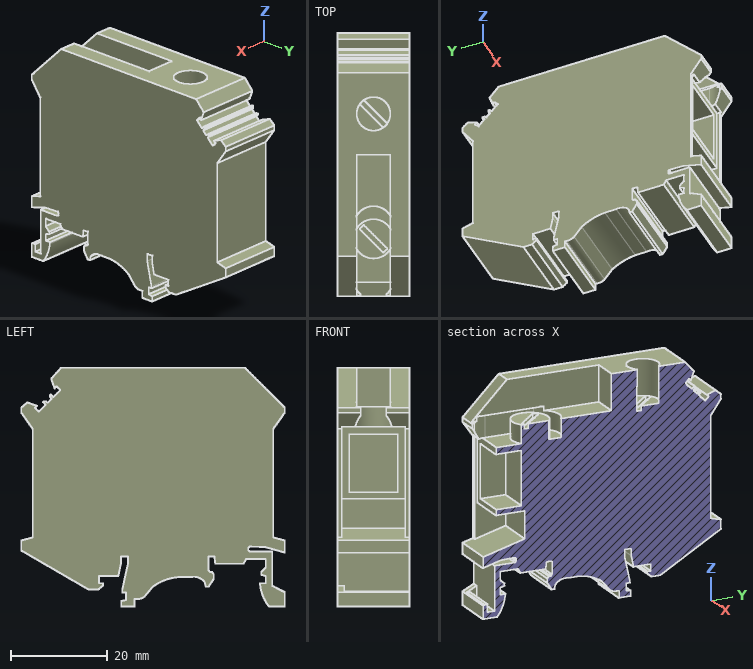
import cadquery as cq
import math


WIDTH = 15.0
DEPTH = 54.9
HEIGHT = 49.8
END_Y = DEPTH / 2
WALL_Y = END_Y - 2.4
TOP_Y = END_Y - 8.35
FLARE_LOW_Z = 37.0
FLARE_HIGH_Z = 40.4
SHOULDER_Z = HEIGHT - (END_Y - TOP_Y)
LEDGE_FRONT_Z = 13.8
LEDGE_WALL_Z = 14.45
LEDGE_SLOPE = (LEDGE_WALL_Z - LEDGE_FRONT_Z) / (END_Y - WALL_Y)

SEAT_Y = 21.53
SEAT_Z = 42.85
SEAT_HALF = 3.16
SEAT_WALL = 1.15
HOOK_ALONG = 2.55
HOOK_OUT = 1.08
JAW_ALONG = 3.47
JAW_OUT = 3.05
RIB_INNER = 0.6
RIB_OUTER = 1.15
RIB_CREST = 0.84
RIB_LOW = 0.43
RIB_HIGH = 0.8

POCKET_HALF_X = 6.65
POCKET_BACK_Y = -17.9
CLAMP_FRONT_Y = -24.45
CLAMP_TOP_Z = 37.5
CLAMP_BOTTOM_Z = 22.45
WINDOW_HALF_X = 5.1
WINDOW_TOP_Z = 35.9
WINDOW_BOTTOM_Z = 23.8
WINDOW_DEPTH = 5.8

SLOT_WIDTH = 7.0
SLOT_BACK_Y = 2.1
SLOT_FLOOR_Z = 41.65
CHANNEL_RADIUS = 4.1
CHANNEL_ROOF_Z = 42.6
CHANNEL_BACK_Y = -12.75
CHANNEL_FRONT_Y = -23.9
LIP_GAP_HALF_X = 2.65
SCREW_RADIUS = 4.1
FRONT_SCREW_Y = -15.45
REAR_HOLE_Y = 10.57
DRIVER_LENGTH = 7.0
DRIVER_WIDTH = 1.2
DRIVER_DEPTH = 1.0
DRIVER_ANGLE = -45.0

FOOT_TOP_Z = 4.36
FOOT_EDGE_Z = 3.05
LEG_FRONT_Y = -24.85
RELEASE_LIP = 1.05
RELEASE_LIP_Z = 3.2
RELEASE_FLOOR_Z = 1.5
RELEASE_END_WALL = 1.4


def box(x0, x1, y0, y1, z0, z1):
    """Axis-aligned box between the given limits."""
    block = cq.Workplane("XY").box(x1 - x0, y1 - y0, z1 - z0, centered=False)
    return block.translate((x0, y0, z0))


def seat_point(along, out):
    """(Y, Z) point in the marker seat's frame: along rises toward -Y, out leaves the seat floor."""
    diagonal = math.sqrt(0.5)
    return (SEAT_Y + diagonal * (out - along), SEAT_Z + diagonal * (out + along))


def marker_seat_points():
    """Seat outline from low jaw to high jaw: one half, mirrored about the seat middle."""
    half = [
        (RIB_INNER, 0),
        (RIB_INNER, RIB_LOW),
        (RIB_CREST, RIB_HIGH),
        (RIB_OUTER, RIB_HIGH),
        (RIB_OUTER, 0),
        (SEAT_HALF, 0),
        (SEAT_HALF, SEAT_WALL),
        (HOOK_ALONG, HOOK_OUT),
        (JAW_ALONG, JAW_OUT),
    ]
    low = [seat_point(-along, out) for along, out in reversed(half)]
    high = [seat_point(along, out) for along, out in half]
    return low + high


def polyline_through(sketch, points):
    """Continue the sketch with straight lines through the given (Y, Z) points."""
    for point in points:
        sketch = sketch.lineTo(*point)
    return sketch


def housing():
    """Outline in the YZ plane, extruded over the whole width."""
    front_end = [
        (-TOP_Y, HEIGHT),
        (-END_Y, SHOULDER_Z),
        (-END_Y, FLARE_HIGH_Z),
        (-WALL_Y, FLARE_LOW_Z),
        (-WALL_Y, LEDGE_WALL_Z),
        (-END_Y, LEDGE_FRONT_Z),
        (-END_Y, 11.25),
        (-23.35, 12.4),
    ]
    spring_leg_and_foot = [
        (-20.1, 12.5),
        (-19.85, 12.2),
        (-19.85, 11.75),
        (-20.15, 11.5),
        (LEG_FRONT_Y, 11.5),
        (LEG_FRONT_Y, FOOT_TOP_Z),
        (-END_Y, FOOT_EDGE_Z),
        (-END_Y, 0),
        (-24.15, 0),
    ]
    front_rail_catch = [
        (-22.25, 4.9),
        (-23.45, 4.9),
        (-23.45, 6.35),
        (-22.5, 6.65),
        (-22.5, 7.2),
        (-23.45, 8.2),
        (-23.45, 9.9),
        (-19.4, 9.9),
        (-18.85, 8.9),
        (-12.95, 8.9),
        (-12.75, 10.45),
        (-11.6, 10.45),
        (-11.6, 7.6),
        (-11.85, 7.25),
        (-12.3, 7.25),
        (-12.65, 6.8),
        (-12.65, 5.8),
        (-11.6, 4.15),
        (-10.95, 4.15),
        (-10.75, 5.1),
    ]
    centre_foot = [
        (3.85, 1.6),
        (3.85, 0),
        (6.65, 0),
        (6.65, 1.2),
        (5.65, 1.4),
        (5.65, 2.95),
        (6.45, 2.95),
        (6.45, 3.45),
        (5.25, 8.9),
        (5.25, 10.45),
        (6.65, 10.45),
        (6.65, 9.0),
        (7.2, 6.35),
    ]
    rear_rail_hook = [
        (11.2, 6.35),
        (11.2, 4.9),
        (10.4, 4.9),
        (10.4, 4.4),
        (11.4, 3.55),
        (13.4, 3.55),
    ]
    rear_end = [
        (END_Y, 11.7),
        (END_Y, LEDGE_FRONT_Z),
        (WALL_Y, LEDGE_WALL_Z),
        (WALL_Y, FLARE_LOW_Z),
        (END_Y, FLARE_HIGH_Z),
        (END_Y, SHOULDER_Z),
    ]

    outline = cq.Workplane("YZ").moveTo(TOP_Y, HEIGHT)
    outline = polyline_through(outline, front_end)
    outline = polyline_through(outline, spring_leg_and_foot)
    outline = outline.threePointArc((-22.9, 2.1), (-22.25, 4.65))
    outline = polyline_through(outline, front_rail_catch)
    outline = outline.threePointArc((-9.9, 5.85), (-7.9, 6.15))
    outline = outline.lineTo(-5.3, 6.15)
    outline = outline.threePointArc((-2.4, 5.5), (0, 4.2))
    outline = outline.lineTo(1.75, 2.1)
    outline = outline.threePointArc((2.6, 1.65), (3.5, 1.6))
    outline = polyline_through(outline, centre_foot + rear_rail_hook + rear_end)
    outline = polyline_through(outline, marker_seat_points())
    return outline.close().extrude(WIDTH / 2, both=True)


def clamp_pocket():
    """Opening in the front end wall, floored by the ledge slope, around the clamp block."""
    floor_back_z = LEDGE_FRONT_Z + LEDGE_SLOPE * (POCKET_BACK_Y + END_Y)
    side = [
        (-END_Y, LEDGE_FRONT_Z),
        (POCKET_BACK_Y, floor_back_z),
        (POCKET_BACK_Y, CLAMP_TOP_Z),
        (-END_Y, CLAMP_TOP_Z),
    ]
    pocket = cq.Workplane("YZ").polyline(side).close().extrude(POCKET_HALF_X, both=True)
    clamp = box(-POCKET_HALF_X, POCKET_HALF_X, CLAMP_FRONT_Y, POCKET_BACK_Y, CLAMP_BOTTOM_Z, CLAMP_TOP_Z)
    window = box(
        -WINDOW_HALF_X, WINDOW_HALF_X,
        CLAMP_FRONT_Y, CLAMP_FRONT_Y + WINDOW_DEPTH,
        WINDOW_BOTTOM_Z, WINDOW_TOP_Z,
    )
    return pocket.cut(clamp.cut(window))


def driver_slot(y):
    """Screwdriver slot sunk into the top of a screw head centred at the given Y."""
    blade = cq.Workplane("XY").box(DRIVER_LENGTH, DRIVER_WIDTH, DRIVER_DEPTH, centered=(True, True, False))
    blade = blade.rotate((0, 0, 0), (0, 0, 1), DRIVER_ANGLE)
    return blade.translate((0, y, SLOT_FLOOR_Z - DRIVER_DEPTH))


def front_screw_access():
    """Top slot and the wider round-ended channel below it, less the screw head standing inside."""
    slot = box(-SLOT_WIDTH / 2, SLOT_WIDTH / 2, -END_Y, SLOT_BACK_Y, SLOT_FLOOR_Z, HEIGHT)
    span = CHANNEL_BACK_Y - CHANNEL_FRONT_Y
    channel = (
        cq.Workplane("XY", origin=(0, (CHANNEL_BACK_Y + CHANNEL_FRONT_Y) / 2, CLAMP_TOP_Z))
        .slot2D(span + 2 * CHANNEL_RADIUS, 2 * CHANNEL_RADIUS, 90)
        .extrude(CHANNEL_ROOF_Z - CLAMP_TOP_Z)
    )
    head = (
        cq.Workplane("XY", origin=(0, FRONT_SCREW_Y, CLAMP_TOP_Z))
        .circle(SCREW_RADIUS)
        .extrude(SLOT_FLOOR_Z - CLAMP_TOP_Z)
    )
    lip_gap = box(-LIP_GAP_HALF_X, LIP_GAP_HALF_X, -END_Y, CHANNEL_FRONT_Y, CLAMP_TOP_Z, SLOT_FLOOR_Z)
    return slot.union(channel.union(lip_gap).cut(head)).union(driver_slot(FRONT_SCREW_Y))


def rear_screw_access():
    """Round access hole ending on the head of the rear screw."""
    hole = (
        cq.Workplane("XY", origin=(0, REAR_HOLE_Y, SLOT_FLOOR_Z))
        .circle(SLOT_WIDTH / 2)
        .extrude(HEIGHT - SLOT_FLOOR_Z)
    )
    return hole.union(driver_slot(REAR_HOLE_Y))


def release_groove():
    """Screwdriver groove in the foot, behind a low lip and open toward +X."""
    x0 = -WIDTH / 2 + RELEASE_END_WALL
    x1 = WIDTH / 2
    lip_back_y = -END_Y + RELEASE_LIP
    groove = box(x0, x1, lip_back_y, LEG_FRONT_Y, RELEASE_FLOOR_Z, FOOT_TOP_Z)
    lip_top = box(x0, x1, -END_Y, lip_back_y, RELEASE_LIP_Z, FOOT_TOP_Z)
    return groove.union(lip_top)


result = housing()
result = result.cut(clamp_pocket())
result = result.cut(front_screw_access())
result = result.cut(rear_screw_access())
result = result.cut(release_groove())